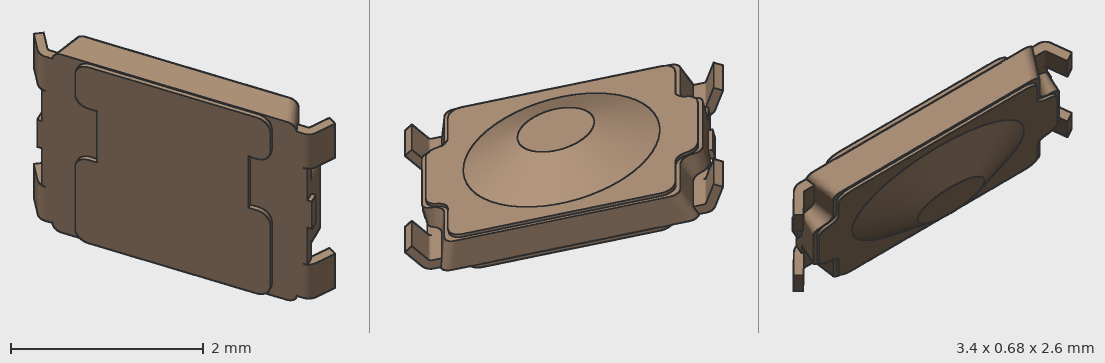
import cadquery as cq
import math

pad_thickness = 0.05
sheet_thickness = 0.105
body_height = 0.34
cover_thickness = 0.035
total_height = 0.68

sheet_y = pad_thickness
sheet_top_y = sheet_y + sheet_thickness
body_top_y = sheet_y + body_height
cover_top_y = body_top_y + cover_thickness
dome_height = total_height - cover_top_y

body_half_z = 1.3
wall_base_x = 1.38
wall_top_x = 1.26
corner_radius = 0.11
bulge_x = 1.5
bulge_flat_z = 0.445
bulge_middle_z = 0.55
bulge_end_z = 0.7

cover_inset = 0.047
cover_flat_z = 0.405
cover_corner_radius = 0.155

dome_base_radius = 1.05
dome_top_radius = 0.41

sheet_half_z = 1.2
tongue_x = 1.55
tongue_bottom_z = -0.155
tongue_top_z = 0.245
terminal_tip_x = 1.7
terminal_angle = 57.6
terminal_inner_radius = 0.03
terminal_bend_x = 1.457

pad_half_x = 1.1
pad_half_z = 1.285
pad_corner_radius = 0.155
notch_x = 0.855
notch_bottom_z = -0.067
notch_top_z = 0.68


def plane_at(y):
    """XZ workplane at height y; a negative extrusion goes toward +Y."""
    return cq.Workplane("XZ", origin=(0, y, 0))


def box_between(x0, x1, y0, y1, z0, z1):
    return cq.Workplane("XY").box(x1 - x0, y1 - y0, z1 - z0, centered=False).translate((x0, y0, z0))


def bulged_outline(y, wall_x, half_z, radius, face_x, flat_z):
    """Closed wire: rounded rectangle whose ends swell out in a smooth S curve to face_x."""
    middle_share = (bulge_middle_z - flat_z) / (bulge_end_z - flat_z)
    middle_x = face_x - (face_x - wall_x) * middle_share
    corner_z = half_z - radius
    corner_x = wall_x - radius
    outline = plane_at(y).moveTo(face_x, -flat_z)
    for side in (1, -1):
        outline = (
            outline.lineTo(side * face_x, side * flat_z)
            .tangentArcPoint((side * middle_x, side * bulge_middle_z), relative=False)
            .tangentArcPoint((side * wall_x, side * bulge_end_z), relative=False)
            .lineTo(side * wall_x, side * corner_z)
            .tangentArcPoint((side * corner_x, side * half_z), relative=False)
            .lineTo(-side * corner_x, side * half_z)
            .tangentArcPoint((-side * wall_x, side * corner_z), relative=False)
            .lineTo(-side * wall_x, side * bulge_end_z)
            .tangentArcPoint((-side * middle_x, side * bulge_middle_z), relative=False)
            .tangentArcPoint((-side * face_x, side * flat_z), relative=False)
        )
    return outline.close()


def make_body():
    sections = [
        bulged_outline(y, wall_x, body_half_z, corner_radius, bulge_x, bulge_flat_z).val()
        for y, wall_x in ((sheet_y, wall_base_x), (body_top_y, wall_top_x))
    ]
    return cq.Workplane(cq.Solid.makeLoft(sections, True))


def make_cover():
    outline = bulged_outline(
        body_top_y,
        wall_top_x - cover_inset,
        body_half_z - cover_inset,
        cover_corner_radius,
        bulge_x - cover_inset,
        cover_flat_z,
    )
    return outline.extrude(-cover_thickness)


def make_dome():
    cone = cq.Solid.makeCone(
        dome_base_radius, dome_top_radius, dome_height, cq.Vector(0, cover_top_y, 0), cq.Vector(0, 1, 0)
    )
    return cq.Workplane(cone)


def make_sheet():
    middle = box_between(-bulge_x, bulge_x, sheet_y, sheet_top_y, -bulge_end_z, bulge_end_z)
    tongues = box_between(-tongue_x, tongue_x, sheet_y, sheet_top_y, tongue_bottom_z, tongue_top_z)
    return middle.union(tongues)


def make_terminal():
    """Terminal on the +X, +Z corner: a flat foot, a bend and a straight leaning arm."""
    angle = math.radians(terminal_angle)
    arm_x = math.cos(angle)
    arm_y = math.sin(angle)
    outer_radius = terminal_inner_radius + sheet_thickness
    bend_y = sheet_y + outer_radius
    outer_end = (terminal_bend_x + outer_radius * arm_y, bend_y - outer_radius * arm_x)
    inner_end = (
        terminal_bend_x + terminal_inner_radius * arm_y,
        bend_y - terminal_inner_radius * arm_x,
    )
    arm_length = (terminal_tip_x - outer_end[0]) / arm_x
    outer_tip = (terminal_tip_x, outer_end[1] + arm_length * arm_y)
    inner_tip = (outer_tip[0] - sheet_thickness * arm_y, outer_tip[1] + sheet_thickness * arm_x)
    profile = (
        cq.Workplane("XY", origin=(0, 0, bulge_end_z))
        .moveTo(wall_top_x, sheet_y)
        .lineTo(terminal_bend_x, sheet_y)
        .tangentArcPoint(outer_end, relative=False)
        .lineTo(*outer_tip)
        .lineTo(*inner_tip)
        .lineTo(*inner_end)
        .radiusArc((terminal_bend_x, sheet_top_y), terminal_inner_radius)
        .lineTo(wall_top_x, sheet_top_y)
        .close()
    )
    return profile.extrude(sheet_half_z - bulge_end_z)


def make_pad():
    pad = plane_at(0).rect(2 * pad_half_x, 2 * pad_half_z).extrude(-pad_thickness)
    for x0, x1 in ((-pad_half_x, -notch_x), (notch_x, pad_half_x)):
        pad = pad.cut(box_between(x0, x1, 0, pad_thickness, notch_bottom_z, notch_top_z))
    outer_corners = pad.edges("|Y").edges("<X or >X")
    return outer_corners.fillet(pad_corner_radius)


result = make_body().union(make_sheet())
terminal = make_terminal()
terminal_pair = terminal.union(terminal.mirror("XY"))
result = result.union(terminal_pair).union(terminal_pair.mirror("YZ"))
result = result.union(make_cover()).union(make_dome()).union(make_pad())